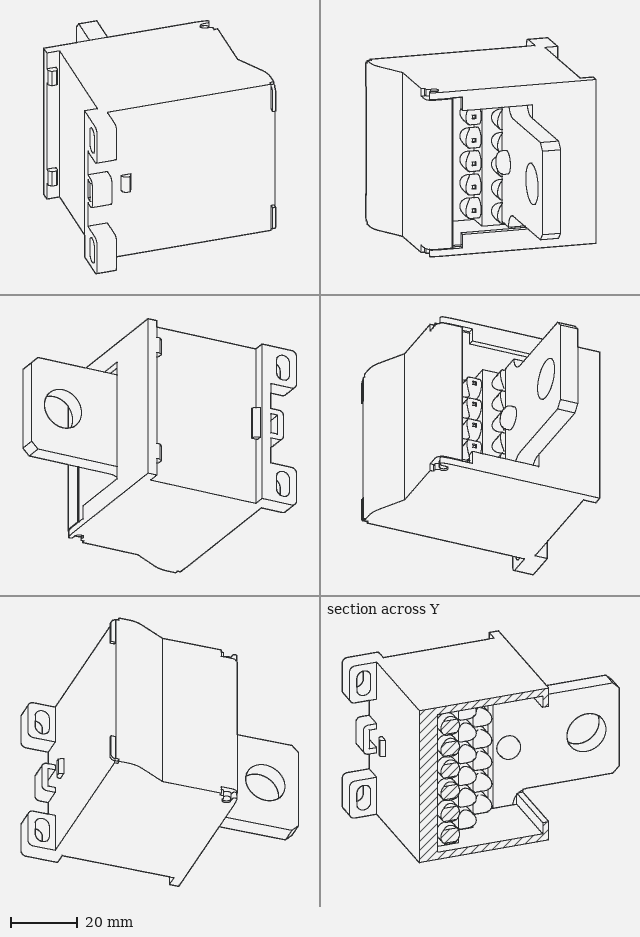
import cadquery as cq
import math

width = 51.0
half_width = width / 2
height = 59.2
depth = 41.65
shoulder_height = 53.1

hump_angle = 30
hump_radius = 9.5
hump_arc_end = 37.7

channel_start = 3.0
channel_end = 38.65
channel_height = 4.0
rear_foot_height = 6.2

front_hook_length = 2.0
front_hook_top = 2.9
front_hook_bevel = 0.95
front_hook_corner = 0.5
front_hook_width = 5.0
front_hook_spacing = 35.0
rear_hook_length = 2.05
rear_hook_bottom = 0.9
rear_hook_tip = 2.2
rear_hook_top = 2.9

ear_end = 50.4
ear_width = 12.4
ear_round = 1.75
slot_width = 4.4
slot_length = 8.15
slot_x = 45.8
slot_from_side = 6.3
lug_end = 45.9
lug_width = 9.75
lug_round = 1.6
window_length = 2.3
window_width = 6.25

bump_width = 5.3
bump_length = 1.5
bump_bottom = 10.5
bump_arc_end = 11.9
bump_crest = 12.9
bump_top = 13.6
tab_start = 40.6
tab_bottom = 57.9
tab_top = 58.9
tab_round = 1.4
tab_length = 7.9
tab_recess = 0.8

opening_bottom = 19.95
opening_step = 41.8
opening_narrow_width = 38.5
opening_wide_width = 46.9
front_wall = 2.0
cavity_width = 45.9
cavity_back = 35.65
cavity_top = 44.8
lid_width = 46.4
lid_bottom = 45.1
lid_round = 2.45
lid_gap_depth = 5.8
lid_setback = 0.3

pin_x = 3.0
pin_y = 49.9
pin_radius = 1.35
pin_recess = 0.6
hinge_neck_angle = 30
hinge_relief_bottom = 48.1
hinge_relief_bend = 49.8
hinge_relief_depth = 0.1
hinge_arch_shoulder = 51.2
hinge_arch_side = 0.2
notch_start = 4.7
notch_end = 5.8
notch_bottom = 51.95

bar_length = 28.8
bar_width = 30.25
bar_bottom = 20.0
bar_top = 25.75
bar_chamfer = 2.1
bar_hole = 12.5
bar_hole_from_tip = 10.6
bar_base_width = 39.6
bar_root_start = 0.8
bar_root_round = (bar_base_width - bar_width) / 2

step_heights = (21.7, 29.6, 37.55)
step_depth = 7.9
block_start = 11.9
screws_per_row = 6
screw_pitch = 7.3
screw_radius = 3.1
screw_shoulder = 2.8
screw_heights = (5.2, 4.75, 4.3)
socket_size = 1.1
socket_depth = 0.8
bolt_x = 7.1
bolt_radius = 3.6
bolt_height = 2.85
bolt_round = 1.75


def slab(sketch, z_min, z_max):
    """Extrude a closed XY outline between two Z levels."""
    return sketch.extrude(z_max - z_min).translate((0, 0, z_min))


def block(x_min, x_max, y_min, y_max, z_width):
    """Box given by its X and Y limits and centred on Z = 0."""
    return cq.Workplane("XY").box(x_max - x_min, y_max - y_min, z_width).translate(
        ((x_min + x_max) / 2, (y_min + y_max) / 2, 0)
    )


def both_sides(solid):
    """Add the mirror image of a solid across the Z = 0 plane."""
    return solid.union(solid.mirror("XY"))


def housing():
    angle = math.radians(hump_angle)
    arc_x = hump_arc_end - hump_radius * math.sin(angle)
    arc_y = height - hump_radius * (1 - math.cos(angle))
    mid_x = hump_arc_end - hump_radius * math.sin(angle / 2)
    mid_y = height - hump_radius * (1 - math.cos(angle / 2))
    slope_x = arc_x - (arc_y - shoulder_height) / math.tan(angle)
    lid_mid = lid_round * (1 - math.sqrt(0.5))
    outline = (
        cq.Workplane("XY")
        .lineTo(channel_start, 0)
        .lineTo(channel_start, channel_height)
        .lineTo(channel_end, channel_height)
        .lineTo(channel_end, 0)
        .lineTo(depth, 0)
        .lineTo(depth, height)
        .lineTo(hump_arc_end, height)
        .threePointArc((mid_x, mid_y), (arc_x, arc_y))
        .lineTo(slope_x, shoulder_height)
        .lineTo(lid_round, shoulder_height)
        .threePointArc((lid_mid, shoulder_height - lid_mid), (0, shoulder_height - lid_round))
        .close()
    )
    return slab(outline, -half_width, half_width)


def cavity():
    inside = block(front_wall, cavity_back, opening_bottom, cavity_top, cavity_width)
    narrow = block(0, front_wall, opening_bottom, opening_step, opening_narrow_width)
    wide = block(0, front_wall, opening_step, cavity_top, opening_wide_width)
    return inside.union(narrow).union(wide)


def lid_gaps():
    """Narrow gaps beside the lid and below it."""
    slit = block(0, lid_gap_depth, cavity_top, shoulder_height, opening_wide_width)
    lid = block(0, lid_gap_depth, lid_bottom, shoulder_height, lid_width)
    step = block(lid_setback, lid_gap_depth, cavity_top, lid_bottom, lid_width)
    return slit.cut(lid).cut(step)


def hinge_cutout():
    """Opening in the top side wall that shows the lid and takes its hinge pin."""
    neck_angle = math.radians(hinge_neck_angle)
    neck_x = pin_x + pin_radius * math.cos(neck_angle)
    neck_y = pin_y + pin_radius * math.sin(neck_angle)
    arch_end = pin_x - pin_radius
    outline = (
        cq.Workplane("XY")
        .moveTo(0, hinge_relief_bottom)
        .lineTo(hinge_relief_depth, hinge_relief_bend)
        .lineTo(hinge_arch_side, hinge_arch_shoulder)
        .threePointArc(((hinge_arch_side + arch_end) / 2, notch_bottom), (arch_end, hinge_arch_shoulder))
        .lineTo(arch_end, pin_y)
        .threePointArc((pin_x, pin_y - pin_radius), (neck_x, neck_y))
        .lineTo(notch_start, notch_bottom)
        .lineTo(notch_end, notch_bottom)
        .lineTo(notch_end, shoulder_height)
        .lineTo(0, shoulder_height)
        .close()
    )
    return slab(outline, opening_wide_width / 2, half_width)


def hinge_pin():
    circle = cq.Workplane("XY").center(pin_x, pin_y).circle(pin_radius)
    return slab(circle, cavity_width / 2, half_width - pin_recess)


def front_hooks():
    hook_end = channel_start + front_hook_length
    hook = block(channel_start, hook_end, 0, front_hook_top, front_hook_width)
    hook = hook.edges(">X and <Y").chamfer(front_hook_bevel)
    hook = hook.edges(">X and >Y").chamfer(front_hook_corner)
    return both_sides(hook.translate((0, 0, front_hook_spacing / 2)))


def rear_hook():
    outline = (
        cq.Workplane("XY")
        .moveTo(channel_end, rear_hook_bottom)
        .lineTo(channel_end, rear_hook_top)
        .lineTo(channel_end - rear_hook_length, rear_hook_top)
        .lineTo(channel_end - rear_hook_length, rear_hook_tip)
        .close()
    )
    return slab(outline, -lug_width / 2, lug_width / 2)


def rear_foot():
    """Mounting ears with slots, and the lug with its window between them."""
    ear = block(channel_end, ear_end, 0, rear_foot_height, ear_width).edges(">X and |Y").fillet(ear_round)
    ears = both_sides(ear.translate((0, 0, half_width - ear_width / 2)))
    slot = cq.Workplane("XZ").center(slot_x, 0).slot2D(slot_length, slot_width, 90).extrude(-rear_foot_height)
    slots = both_sides(slot.translate((0, 0, half_width - slot_from_side)))
    lug = block(channel_end, lug_end, 0, rear_foot_height, lug_width).edges(">X and |Y").fillet(lug_round)
    window = block(depth, depth + window_length, 0, rear_foot_height, window_width)
    return ears.cut(slots).union(lug.cut(window))


def back_bump():
    bump_end = depth + bump_length
    outline = (
        cq.Workplane("XY")
        .moveTo(depth, bump_bottom)
        .radiusArc((bump_end, bump_arc_end), -bump_length)
        .lineTo(bump_end, bump_crest)
        .lineTo(depth, bump_top)
        .close()
    )
    return slab(outline, -bump_width / 2, bump_width / 2)


def lid_tabs():
    """Tabs behind the hump, one at each side wall."""
    tab = block(tab_start, depth + bump_length, tab_bottom, tab_top, tab_length)
    tab = tab.edges(">X and >Z").fillet(tab_round)
    return both_sides(tab.translate((0, 0, half_width - tab_recess - tab_length / 2)))


def tab_notches():
    notch = block(tab_start, depth, tab_bottom, height, 2 * tab_recess)
    return both_sides(notch.translate((0, 0, half_width)))


def connection_bar():
    hole_x = bar_hole_from_tip - bar_length
    half_bar = bar_width / 2
    half_base = bar_base_width / 2
    round_mid = bar_root_round * math.sqrt(0.5)
    half_outline = (
        cq.Workplane("XZ", origin=(0, bar_bottom, 0))
        .moveTo(-bar_length, 0)
        .lineTo(-bar_length, half_bar - bar_chamfer)
        .lineTo(bar_chamfer - bar_length, half_bar)
        .lineTo(bar_root_start, half_bar)
        .threePointArc(
            (bar_root_start + round_mid, half_base - round_mid),
            (bar_root_start + bar_root_round, half_base),
        )
        .lineTo(block_start, half_base)
        .lineTo(block_start, 0)
        .close()
    )
    bar = both_sides(half_outline.extrude(bar_bottom - bar_top))
    hole = cq.Workplane("XZ").center(hole_x, 0).circle(bar_hole / 2).extrude(-bar_top)
    return bar.cut(hole)


def arched_screw(total):
    """Round post standing on Y = 0 with an arched top, and a square socket in its front."""
    arch = (
        cq.Workplane("ZY")
        .moveTo(-screw_radius, 0)
        .lineTo(-screw_radius, screw_shoulder)
        .threePointArc((0, total), (screw_radius, screw_shoulder))
        .lineTo(screw_radius, 0)
        .close()
        .extrude(screw_radius, both=True)
    )
    post = cq.Workplane("XZ").circle(screw_radius).extrude(-total)
    socket = block(
        -screw_radius,
        socket_depth - screw_radius,
        screw_shoulder - socket_size,
        screw_shoulder,
        socket_size,
    )
    return post.intersect(arch).cut(socket)


def terminals():
    steps = block(block_start, cavity_back, opening_bottom, step_heights[0], cavity_width)
    for row, top in enumerate(step_heights):
        start = block_start + row * step_depth
        steps = steps.union(block(start, cavity_back, opening_bottom, top, cavity_width))
        screw = arched_screw(screw_heights[row])
        for place in range(screws_per_row):
            z = (place - (screws_per_row - 1) / 2) * screw_pitch
            steps = steps.union(screw.translate((start + step_depth / 2, top, z)))
    return steps


def bolt_head():
    head = cq.Workplane("XZ").circle(bolt_radius).extrude(-bolt_height)
    return head.faces(">Y").edges().fillet(bolt_round).translate((bolt_x, bar_top, 0))


body = housing().cut(cavity()).cut(lid_gaps()).cut(tab_notches())
body = body.cut(both_sides(hinge_cutout())).union(both_sides(hinge_pin()))
body = body.union(front_hooks()).union(rear_hook()).union(rear_foot())
body = body.union(back_bump()).union(lid_tabs())
result = body.union(terminals()).union(connection_bar()).union(bolt_head())